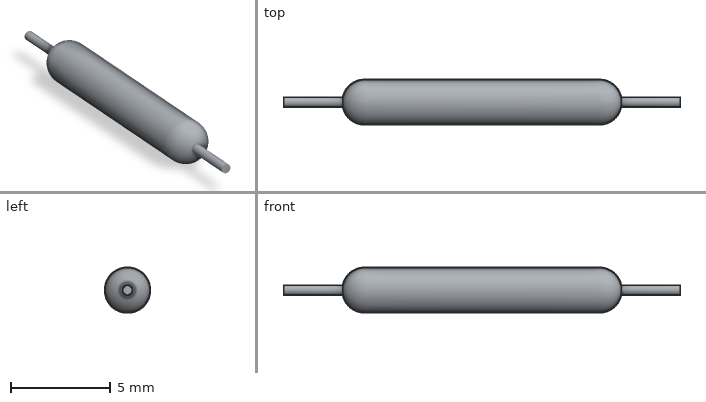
import cadquery as cq
import math

overall_length = 20.0
capsule_diameter = 2.3
barrel_length = 11.8
lead_diameter = 0.5

capsule_radius = capsule_diameter / 2
lead_radius = lead_diameter / 2
barrel_end = barrel_length / 2

dome_height = math.sqrt(capsule_radius**2 - lead_radius**2)
capsule_end = barrel_end + dome_height
lead_length = overall_length / 2 - capsule_end

dome_mid_x = barrel_end + capsule_radius * math.cos(math.pi / 4)
dome_mid_radius = capsule_radius * math.sin(math.pi / 4)


def make_capsule():
    """Barrel with a spherical dome at each end and a small flat that seats the lead."""
    return (
        cq.Workplane("XZ")
        .moveTo(-capsule_end, 0)
        .lineTo(-capsule_end, lead_radius)
        .threePointArc((-dome_mid_x, dome_mid_radius), (-barrel_end, capsule_radius))
        .lineTo(barrel_end, capsule_radius)
        .threePointArc((dome_mid_x, dome_mid_radius), (capsule_end, lead_radius))
        .lineTo(capsule_end, 0)
        .close()
        .revolve(360, (0, 0, 0), (1, 0, 0))
    )


def make_lead(side):
    """Straight round wire running outward from the capsule end on one side (-1 or +1)."""
    return (
        cq.Workplane("YZ", origin=(side * capsule_end, 0, 0))
        .circle(lead_radius)
        .extrude(side * lead_length)
    )


capsule = make_capsule()
leads = [make_lead(side) for side in (-1, 1)]

result = cq.Compound.makeCompound([capsule.val(), *[lead.val() for lead in leads]])